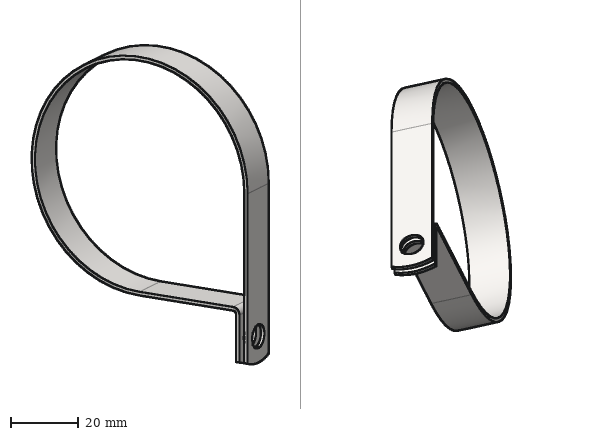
import cadquery as cq
import math

height = 90.8
outer_diameter = 73.8
strip_width = 12.7
thickness = 1.2
tab_gap = 1.6
bend_radius = 2.2
hole_diameter = 7.3
hole_height = 8.2
tip_drop = 1.3

outer_radius = outer_diameter / 2
inner_radius = outer_radius - thickness
loop_z = height - outer_radius
floor_bottom = loop_z - outer_radius
floor_top = floor_bottom + thickness
short_tab_outer = inner_radius - tab_gap
short_tab_inner = short_tab_outer - thickness
bend_x = short_tab_outer - bend_radius
bend_z = floor_top - bend_radius
inner_bend_radius = bend_radius - thickness
diagonal = math.sqrt(0.5)


def make_strip():
    """Bent strip: long straight leg, three-quarter loop, flat floor and short tab."""
    return (
        cq.Workplane("XZ")
        .moveTo(outer_radius, 0)
        .lineTo(outer_radius, loop_z)
        .threePointArc(
            (-outer_radius * diagonal, loop_z + outer_radius * diagonal),
            (0, floor_bottom),
        )
        .lineTo(bend_x, floor_bottom)
        .threePointArc(
            (bend_x + inner_bend_radius * diagonal, bend_z + inner_bend_radius * diagonal),
            (short_tab_inner, bend_z),
        )
        .lineTo(short_tab_inner, 0)
        .lineTo(short_tab_outer, 0)
        .lineTo(short_tab_outer, bend_z)
        .threePointArc(
            (bend_x + bend_radius * diagonal, bend_z + bend_radius * diagonal),
            (bend_x, floor_top),
        )
        .lineTo(0, floor_top)
        .threePointArc(
            (-inner_radius * diagonal, loop_z + inner_radius * diagonal),
            (inner_radius, loop_z),
        )
        .lineTo(inner_radius, 0)
        .close()
        .extrude(strip_width / 2, both=True)
    )


def make_end_envelope():
    """Block seen along X as the strip width with a rounded lower end."""
    half_width = strip_width / 2
    return (
        cq.Workplane("YZ")
        .moveTo(-half_width, tip_drop)
        .threePointArc((0, 0), (half_width, tip_drop))
        .lineTo(half_width, height)
        .lineTo(-half_width, height)
        .close()
        .extrude(outer_radius, both=True)
    )


def make_bolt_hole():
    """Cylinder along X that passes through both tabs."""
    return (
        cq.Workplane("YZ")
        .center(0, hole_height)
        .circle(hole_diameter / 2)
        .extrude(outer_radius)
    )


strip = make_strip()
result = strip.intersect(make_end_envelope()).cut(make_bolt_hole())